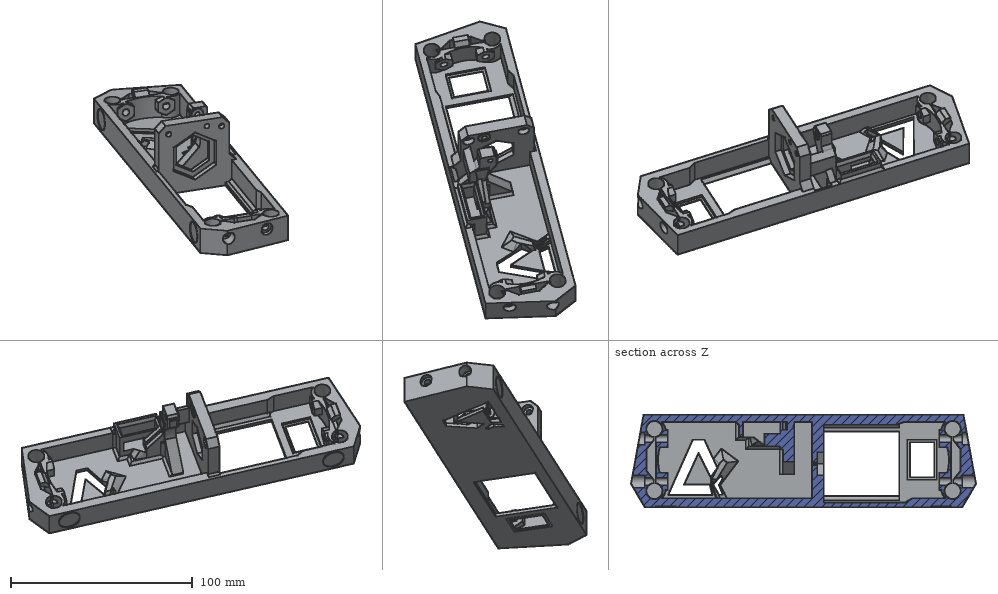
import cadquery as cq
import math

tray_half_length = 95.0
tray_half_width = 25.5
tray_height = 15.0
back_corner_x = 88.1
nose_y = -12.5
front_corner_x = 87.4
floor_top = 2.0
pocket_back_y = 21.4
pocket_front_y = -20.4
wall_blend = 4.0

end_mid_y = 0.55
post_x = 82.1
post_offset = 17.05
post_hole_diameter = 8.8
screw_offset = 11.8
screw_z = 10.0
screw_diameter = 4.0
screw_head_diameter = 6.8
screw_head_seat_x = 87.5
hex_pad_width = 9.6
hex_pad_x = 74.7
spring_front_x = 80.0
spring_back_x = 81.3
bulge_x = 75.9
bulge_edge_x = 78.0
bulge_edge_offset = 10.4
slot_neck_x = 82.4
slot_outer_x = 86.4
slot_outer_half = 5.9
slot_knee_half = 11.1
catch_half_width = 4.2
catch_top = 17.4
catch_outer_x = 86.2
catch_flat_x = 83.2
catch_root_depth = 3.0
embed = 0.5

disc_x = 75.8
disc_diameter = 12.0
disc_depth = 0.5

plate_left = 4.6
plate_right = 11.2
plate_front = -22.7
plate_back = 18.6
plate_top = 42.0
plate_corner = 4.0
plate_toe = 1.2
bay_right = 52.6
bay_floor_front = -19.2
bay_chamfer_top = -21.5
bay_front_wall = -22.8
bay_back_wall = 19.9
bay_floor_back = 16.2
bay_front_blend_x = 56.0
bay_back_blend_x = 51.3
window_y = -1.5
window_z = 20.8
window_width = 19.4
window_rear_width = 25.0
window_lip = 3.0
plate_screw_z = 36.6
plate_screw_y = (-16.9, 14.1)
plate_screw_diameter = 3.0
plate_screw_head_diameter = 6.2
plate_screw_head_depth = 3.0

arm_left = -11.4
arm_right = -5.0
pivot_y = 5.5
pivot_z = 38.0
pivot_diameter = 2.8
pivot_disc_diameter = 7.0
pivot_disc_height = 0.5
arm_head_front = 3.2
arm_head_back = 10.6
arm_neck_back = 11.5
arm_neck_chamfer = 1.0
arm_front_top = 40.5
arm_front_bottom = 32.4
arm_throat_start = (5.6, 27.5)
arm_throat_middle = (7.4, 22.5)
arm_throat_end = (6.6, 17.6)
brace_toe_height = 1.0
arm_back = 17.3
arm_front = 2.0
arm_pad_front = 1.2
arm_pad_inset = 1.2
arm_pad_bottom = 33.3
arm_pad_top = 39.2
brace_tip_y = -7.2
bridge_bottom = 19.5
bridge_front = 13.4
bridge_top = 31.5
bridge_back_top = 29.0
wing_left = -9.0
ramp_left = -5.5
ramp_back = 24.5
ramp_bottom = 9.0
panel_thickness = 0.9

box_left = -35.6
box_front = 13.1
box_back = 23.9
box_top = 20.0
well_left = -33.2
well_right = -12.8
well_front = 15.1
well_back = 21.4
well_bottom = 7.6
funnel_depth = 2.2
foot = 1.6
brace_left = -21.5
lower_brace_front = 8.0
upper_brace_front = 10.5
upper_brace_top = 23.9
lower_brace_top = 21.6
outlet_top = 15.0
outlet_ramp_toe_x = -30.1
corner_fill = 2.0
corner_fill_top = 14.5

sight_left = 58.7
sight_right = 71.9
sight_front = -8.9
sight_back = 10.2
ledge_width = 1.5
ledge_depth = 1.5

chevron_height = 3.5
chevron_leg_height = 1.5


def block(x0, x1, y0, y1, z0, z1):
    return cq.Workplane("XY").box(x1 - x0, y1 - y0, z1 - z0, centered=False).translate((x0, y0, z0))


def prism_x(points, x0, x1):
    """Extrude a (y, z) outline from x0 to x1."""
    return cq.Workplane("YZ").polyline(points).close().extrude(x1 - x0).translate((x0, 0, 0))


def prism_y(points, y0, y1):
    """Extrude an (x, z) outline from y0 to y1."""
    return cq.Workplane("XZ").polyline(points).close().extrude(y0 - y1).translate((0, y0, 0))


def prism_z(points, z0, z1):
    """Extrude an (x, y) outline from z0 to z1."""
    return cq.Workplane("XY").workplane(offset=z0).polyline(points).close().extrude(z1 - z0)


def loft_z(lower, upper, z0, z1):
    """Ruled solid between two (x, y) outlines with equally many corners."""
    base = cq.Workplane("XY").workplane(offset=z0).polyline(lower).close()
    return base.workplane(offset=z1 - z0).polyline(upper).close().loft(ruled=True)


def rod_x(diameter, y, z, x0, x1):
    return cq.Workplane("YZ").center(y, z).circle(diameter / 2).extrude(x1 - x0).translate((x0, 0, 0))


def hexagon(across_flats, y, z):
    """Corners of a regular hexagon with one corner up, as (y, z)."""
    radius = across_flats / math.sqrt(3)
    angles = [math.radians(30 + 60 * i) for i in range(6)]
    return [(y + radius * math.cos(a), z + radius * math.sin(a)) for a in angles]


def flared_foot(x0, x1, y0, y1, z):
    """A 45 degree skirt around a rectangle, standing on height z."""
    width = x1 - x0 + 2 * foot
    depth = y1 - y0 + 2 * foot
    base = cq.Workplane("XY").workplane(offset=z).center((x0 + x1) / 2, (y0 + y1) / 2)
    return base.rect(width, depth).extrude(foot, taper=45)


def both_ends(left_end):
    """Add the mirror image at the other end of the tray."""
    return left_end.union(left_end.mirror("YZ"))


def tray_blank():
    right = [(front_corner_x, -tray_half_width), (tray_half_length, nose_y), (back_corner_x, tray_half_width)]
    left = [(-x, y) for x, y in reversed(right)]
    return prism_z(right + left, 0, tray_height)


def tray_pocket():
    """The main pocket, its ends wrapping around the post holes and along the spring walls."""
    high = end_mid_y + bulge_edge_offset
    low = end_mid_y - bulge_edge_offset
    back_bulge = (bulge_x, end_mid_y + post_offset)
    front_bulge = (bulge_x, end_mid_y - post_offset)
    spring = (spring_front_x, end_mid_y)

    def flip(point):
        return (-point[0], point[1])

    outline = (
        cq.Workplane("XY").workplane(offset=floor_top)
        .moveTo(-bulge_edge_x, pocket_back_y)
        .threePointArc(flip(back_bulge), (-bulge_edge_x, high))
        .threePointArc(flip(spring), (-bulge_edge_x, low))
        .threePointArc(flip(front_bulge), (-bulge_edge_x, pocket_front_y))
        .lineTo(bulge_edge_x, pocket_front_y)
        .threePointArc(front_bulge, (bulge_edge_x, low))
        .threePointArc(spring, (bulge_edge_x, high))
        .threePointArc(back_bulge, (bulge_edge_x, pocket_back_y))
        .close()
    )
    return outline.extrude(tray_height)


def end_slot():
    """The clearance behind the left spring wall, opening into both post holes."""
    half = [(-slot_neck_x, post_offset), (-slot_neck_x, slot_knee_half), (-slot_outer_x, slot_outer_half)]
    outer = half + [(x, -y) for x, y in reversed(half)]
    points = outer + [(-spring_back_x, -post_offset), (-spring_back_x, post_offset)]
    slot = prism_z(points, floor_top, tray_height)
    return slot.translate((0, end_mid_y, 0))


def end_catch():
    """The catch leaning out from the top of the left spring wall."""
    points = [
        (-spring_back_x + embed, tray_height - catch_root_depth),
        (-spring_back_x + embed, tray_height),
        (-catch_flat_x, catch_top),
        (-catch_outer_x, catch_top),
        (-catch_outer_x, tray_height),
    ]
    return prism_y(points, end_mid_y - catch_half_width, end_mid_y + catch_half_width)


def screw_pads():
    pads = cq.Workplane("XY")
    for side in (-1, 1):
        outline = hexagon(hex_pad_width, end_mid_y + side * screw_offset, screw_z)
        pads = pads.union(prism_x(outline, -spring_front_x - embed, -hex_pad_x))
    return pads.intersect(block(-tray_half_length, 0, pocket_front_y, pocket_back_y, 0, tray_height))


def end_holes():
    """Post holes from above and counterbored screw holes through the left end."""
    holes = cq.Workplane("XY")
    for side in (-1, 1):
        post_y = end_mid_y + side * post_offset
        screw_y = end_mid_y + side * screw_offset
        post = cq.Workplane("XY").workplane(offset=floor_top).center(-post_x, post_y)
        holes = holes.union(post.circle(post_hole_diameter / 2).extrude(tray_height))
        holes = holes.union(rod_x(screw_diameter, screw_y, screw_z, -tray_half_length, -hex_pad_x))
        head = rod_x(screw_head_diameter, screw_y, screw_z, -tray_half_length, -screw_head_seat_x)
        holes = holes.union(head)
    return holes


def wall_disc():
    disc = cq.Workplane("XZ").center(-disc_x, tray_height / 2).circle(disc_diameter / 2)
    return disc.extrude(disc_depth).translate((0, -tray_half_width + disc_depth, 0))


def bay_wall():
    """The thicker back wall of the motor bay, sloping inward at its foot."""
    outline = [
        (plate_left, pocket_back_y),
        (plate_left, bay_back_wall),
        (bay_back_blend_x, bay_back_wall),
        (bay_back_blend_x + wall_blend, pocket_back_y),
    ]
    slope_height = bay_back_wall - bay_floor_back
    slope = [(bay_floor_back, 0), (bay_back_wall, 0), (bay_back_wall, slope_height)]
    return prism_z(outline, 0, tray_height).union(prism_x(slope, plate_left, bay_right))


def bay_opening():
    """The opening through the floor and the relief in the front wall beside it."""
    floor = [
        (bay_chamfer_top, floor_top),
        (bay_floor_front, 0),
        (bay_floor_back, 0),
        (bay_floor_back, floor_top),
    ]
    relief = [
        (plate_right, pocket_front_y),
        (plate_right, bay_front_wall),
        (bay_front_blend_x, bay_front_wall),
        (bay_front_blend_x + wall_blend, pocket_front_y),
    ]
    return prism_x(floor, plate_right, bay_right).union(prism_z(relief, floor_top, tray_height))


def wing(x0, x1, back):
    """A 45 degree slope from the back wall up to the back of the plate or arm."""
    toe_y = plate_back + plate_corner
    points = [(back, 0), (toe_y, 0), (toe_y, tray_height), (back, tray_height + toe_y - back)]
    return prism_x(points, x0, x1)


def plate():
    outline = [
        (plate_front, 0),
        (plate_back, 0),
        (plate_back, plate_top - plate_corner),
        (plate_back - plate_corner, plate_top),
        (plate_front + plate_corner, plate_top),
        (plate_front, plate_top - plate_corner),
    ]
    toe = [
        (plate_front - plate_toe, tray_height),
        (plate_front, tray_height),
        (plate_front, tray_height + plate_toe),
    ]
    body = prism_x(outline, plate_left, plate_right)
    body = body.union(prism_x(toe, plate_left, plate_right)).union(wing(plate_left, plate_right, plate_back))
    disc_left = plate_left - pivot_disc_height
    return body.union(rod_x(pivot_disc_diameter, pivot_y, pivot_z, disc_left, plate_right))


def plate_holes():
    holes = prism_x(hexagon(window_width, window_y, window_z), plate_left, plate_right)
    rear = hexagon(window_rear_width, window_y, window_z)
    holes = holes.union(prism_x(rear, plate_left + window_lip, plate_right))
    for y in plate_screw_y:
        holes = holes.union(rod_x(plate_screw_diameter, y, plate_screw_z, plate_left, plate_right))
        seat = plate_left + plate_screw_head_depth
        holes = holes.union(rod_x(plate_screw_head_diameter, y, plate_screw_z, plate_left, seat))
    pin_start = plate_left - pivot_disc_height
    pin = rod_x(pivot_diameter, pivot_y, pivot_z, pin_start, plate_right)
    return holes.union(pin)


def arm():
    """The pivot arm with its front brace, and the bridge that ties it to the plate."""
    profile = (
        cq.Workplane("YZ")
        .moveTo(arm_head_back, plate_top)
        .lineTo(arm_head_front, plate_top)
        .lineTo(arm_front, arm_front_top)
        .lineTo(arm_front, arm_front_bottom)
        .lineTo(*arm_throat_start)
        .threePointArc(arm_throat_middle, arm_throat_end)
        .lineTo(brace_tip_y, floor_top + brace_toe_height)
        .lineTo(brace_tip_y, 0)
        .lineTo(arm_back, 0)
        .lineTo(arm_back, bridge_back_top)
        .lineTo(bridge_front, bridge_top)
        .lineTo(arm_neck_back, arm_pad_bottom)
        .lineTo(arm_neck_back, plate_top - arm_neck_chamfer)
        .close()
    )
    body = profile.extrude(arm_right - arm_left).translate((arm_left, 0, 0))
    bridge = [
        (bridge_front, bridge_bottom),
        (arm_back, bridge_bottom),
        (arm_back, bridge_back_top),
        (bridge_front, bridge_top),
    ]
    panel = [(6.3, bridge_top), (7.2, 26.0), (8.0, 22.0), (10.0, 20.0), (12.5, 22.0), (14.3, bridge_top)]
    pad_left = arm_left + arm_pad_inset
    pad_right = arm_right - arm_pad_inset
    toe = [(arm_left - foot, floor_top), (arm_left, floor_top), (arm_left, floor_top + foot)]
    body = body.union(block(pad_left, pad_right, arm_pad_front, arm_front, arm_pad_bottom, arm_pad_top))
    body = body.union(prism_y(toe, brace_tip_y, lower_brace_front))
    body = body.union(prism_x(bridge, arm_right, plate_left))
    body = body.union(prism_x(panel, arm_left - panel_thickness, arm_left))
    body = body.union(wing(wing_left, arm_right, arm_back))
    body = body.union(rod_x(pivot_disc_diameter, pivot_y, pivot_z, arm_left, arm_right + pivot_disc_height))
    return body.cut(rod_x(pivot_diameter, pivot_y, pivot_z, arm_left, arm_right + pivot_disc_height))


def wall_ramp():
    """A sloped notch in the back wall under the bridge."""
    points = [(ramp_back, tray_height), (plate_back, ramp_bottom), (plate_back, tray_height)]
    return prism_x(points, ramp_left, plate_left)


def funnel_box():
    body = block(box_left, arm_left, box_front, box_back, 0, box_top)
    body = body.union(flared_foot(box_left, arm_left, box_front, box_back, floor_top))
    corner = [(box_left, pocket_back_y), (box_left - foot, pocket_back_y), (box_left, pocket_back_y - foot)]
    body = body.union(prism_z(corner, floor_top, tray_height))
    return body.union(flared_foot(box_left, arm_left, pocket_back_y + foot, box_back, tray_height))


def funnel_well():
    well = block(well_left, well_right, well_front, well_back, well_bottom, box_top)
    mouth = (
        cq.Workplane("XY").workplane(offset=box_top)
        .center((well_left + well_right) / 2, (well_front + well_back) / 2)
        .rect(well_right - well_left + funnel_depth, well_back - well_front + funnel_depth)
        .workplane(offset=-funnel_depth)
        .rect(well_right - well_left, well_back - well_front)
        .loft(combine=True)
    )
    return well.union(mouth)


def box_outlet():
    """The opening in the front wall of the box, level with the well floor."""
    return block(well_left, brace_left, box_front, well_front, well_bottom, outlet_top)


def buttress():
    """Two 45 degree braces side by side, and the low ramp below the box outlet."""
    body = cq.Workplane("XY")
    for top, front, back in (
        (lower_brace_top, lower_brace_front, upper_brace_front),
        (upper_brace_top, upper_brace_front, box_front),
    ):
        points = [(brace_left, 0), (brace_left, top + brace_left - arm_left), (arm_left, top), (arm_left, 0)]
        body = body.union(prism_y(points, front, back))
    ramp_foot = [
        (outlet_ramp_toe_x, box_front),
        (outlet_ramp_toe_x, lower_brace_front),
        (brace_left, lower_brace_front),
        (brace_left, box_front),
    ]
    ramp_lip = [(-27.5, box_front), (-24.5, 10.85), (brace_left, 8.6), (brace_left, box_front)]
    corner = [
        (arm_left, lower_brace_front),
        (arm_left - corner_fill, lower_brace_front),
        (arm_left, lower_brace_front - corner_fill),
    ]
    body = body.union(loft_z(ramp_foot, ramp_lip, floor_top, well_bottom))
    body = body.union(prism_z(corner, floor_top, corner_fill_top))
    return body.union(flared_foot(outlet_ramp_toe_x, arm_left, lower_brace_front, box_front, floor_top))


def sight_window():
    opening = block(sight_left, sight_right, sight_front, sight_back, 0, floor_top)
    ledge = block(
        sight_left - ledge_width,
        sight_right + ledge_width,
        sight_front - ledge_width,
        sight_back + ledge_width,
        floor_top - ledge_depth,
        floor_top,
    )
    return opening.union(ledge)


def chevron():
    """A ridge with a broad outer slope, and the low leg that runs from it to the front wall."""
    ridge_foot = [(-49.4, 1.4), (-45.2, 6.8), (-35.9, -0.1), (-46.0, -13.5), (-51.1, -11.0)]
    ridge_top = [(-46.2, -1.4), (-44.1, 0.8), (-42.0, -0.9), (-47.5, -10.0), (-50.5, -10.0)]
    leg_foot = [(-51.1, -13.0), (-48.0, pocket_front_y), (-42.2, pocket_front_y), (-45.8, -13.3)]
    leg_top = [(-51.0, -12.0), (-47.5, pocket_front_y), (-46.0, pocket_front_y), (-49.0, -12.0)]
    ridge = loft_z(ridge_foot, ridge_top, floor_top, floor_top + chevron_height)
    return ridge.union(loft_z(leg_foot, leg_top, floor_top, floor_top + chevron_leg_height))


def floor_openings():
    """The letter shaped opening and the small chevron slot, both through the floor."""
    letter = [
        (-60.9, 11.7), (-54.6, 11.7), (-47.4, -3.9), (-51.1, -8.9), (-57.8, 4.5),
        (-65.8, -13.0), (-51.7, -13.0), (-50.2, -18.6), (-74.4, -18.6),
    ]
    slot = [(-45.4, -8.1), (-44.5, -9.8), (-46.6, -13.3), (-44.5, -18.5), (-46.6, -18.5), (-49.8, -12.9)]
    height = floor_top + chevron_height
    return prism_z(letter, 0, height).union(prism_z(slot, 0, height))


body = tray_blank().cut(tray_pocket())
body = body.union(both_ends(screw_pads()))
body = body.cut(both_ends(end_slot()))
body = body.cut(both_ends(end_holes()))
body = body.union(both_ends(end_catch()))
body = body.cut(both_ends(wall_disc()))
body = body.union(bay_wall()).cut(bay_opening())
body = body.union(funnel_box()).union(buttress())
body = body.union(plate()).union(arm())
body = body.cut(plate_holes()).cut(funnel_well()).cut(box_outlet()).cut(wall_ramp())
body = body.union(chevron()).cut(floor_openings()).cut(sight_window())
result = body